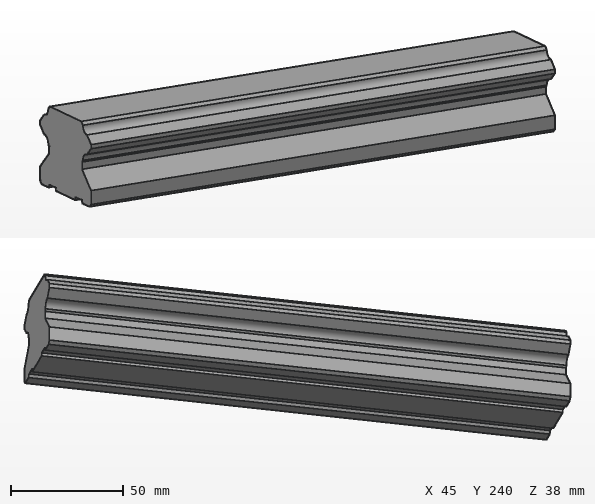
import cadquery as cq
import math

length = 240.0
width = 45.0
height = 38.0

top_chamfer = 1.5
ball_radius = 3.5
nose_bevel = 3.5
nose_flat = 2.0

waist_half = 14.6
waist_top = 19.2
foot_side_top = 8.0

foot_chamfer = 1.5
channel_depth = 1.5
channel_inner = 8.6
channel_outer = 15.0
channel_slant = 0.7

side_half = width / 2
ball_center_x = side_half - nose_bevel
groove_half = ball_center_x - ball_radius
upper_ball_z = height - top_chamfer
nose_top = upper_ball_z - ball_radius - nose_bevel
nose_bottom = nose_top - nose_flat
lower_ball_z = nose_bottom - nose_bevel - ball_radius
slope_top = foot_side_top + side_half - waist_half
arc_offset = ball_radius * math.sqrt(0.5)
arc_mid_x = ball_center_x - arc_offset


def rail_half():
    """Right half of the rail, from the centre plane out to +X."""
    profile = (
        cq.Workplane("XZ")
        .moveTo(0, height)
        .lineTo(groove_half - top_chamfer, height)
        .lineTo(groove_half, upper_ball_z)
        .threePointArc(
            (arc_mid_x, upper_ball_z - arc_offset),
            (ball_center_x, upper_ball_z - ball_radius),
        )
        .lineTo(side_half, nose_top)
        .lineTo(side_half, nose_bottom)
        .lineTo(ball_center_x, lower_ball_z + ball_radius)
        .threePointArc(
            (arc_mid_x, lower_ball_z + arc_offset),
            (groove_half, lower_ball_z),
        )
        .lineTo(waist_half, waist_top)
        .lineTo(waist_half, slope_top)
        .lineTo(side_half, foot_side_top)
        .lineTo(side_half, foot_chamfer)
        .lineTo(side_half - foot_chamfer, 0)
        .lineTo(channel_outer, 0)
        .lineTo(channel_outer - channel_slant, channel_depth)
        .lineTo(channel_inner, channel_depth)
        .lineTo(channel_inner, 0)
        .lineTo(0, 0)
        .close()
    )
    return profile.extrude(length / 2, both=True)


right_half = rail_half()
result = right_half.union(right_half.mirror("YZ")).clean()